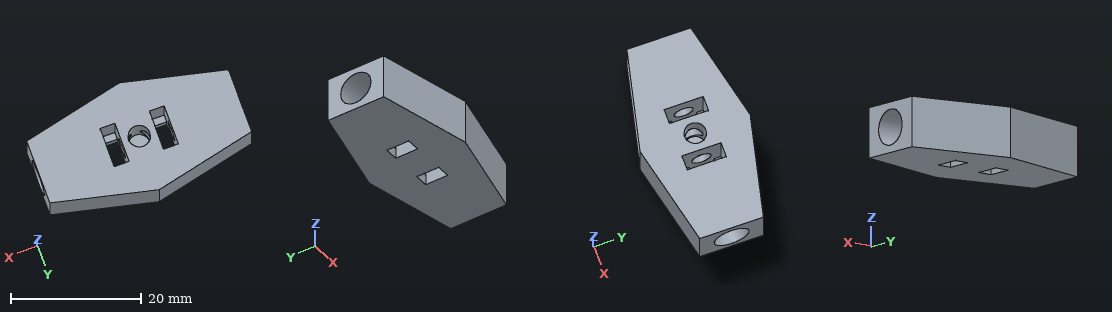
import cadquery as cq

length = 33.0
middle_width = 18.0
end_width = 10.43
height = 8.0

bore_diameter = 3.1
socket_diameter = 5.65
socket_depth = 10.0

pocket_depth = 6.0
center_hole_diameter = 3.4
slot_spacing = 8.05
slot_width = 2.4
slot_length = 6.37
window_length = 4.1


def make_body():
    """Six-sided block, widest at the middle of its length."""
    half_length = length / 2
    half_middle = middle_width / 2
    half_end = end_width / 2
    outline = [
        (-half_length, -half_end),
        (0, -half_middle),
        (half_length, -half_end),
        (half_length, half_end),
        (0, half_middle),
        (-half_length, half_end),
    ]
    return cq.Workplane("XY").polyline(outline).close().extrude(height / 2, both=True)


def cut_bore_and_sockets(body):
    """Bore the full length and open a socket in both end faces."""
    body = body.faces("<X").workplane(centerOption="CenterOfBoundBox").hole(bore_diameter)
    for end_face in ("<X", ">X"):
        end_plane = body.faces(end_face).workplane(centerOption="CenterOfBoundBox")
        body = end_plane.hole(socket_diameter, socket_depth)
    return body


def cut_top_pockets(body):
    """Sink the center hole and two slots whose narrower windows pass through."""
    top = cq.Workplane("XY").workplane(offset=height / 2)
    slot_centers = [(-slot_spacing / 2, 0), (slot_spacing / 2, 0)]
    center_hole = top.circle(center_hole_diameter / 2).extrude(-pocket_depth)
    slots = top.pushPoints(slot_centers).rect(slot_width, slot_length).extrude(-pocket_depth)
    windows = top.pushPoints(slot_centers).rect(slot_width, window_length).extrude(-height)
    return body.cut(center_hole).cut(slots).cut(windows)


result = cut_top_pockets(cut_bore_and_sockets(make_body()))